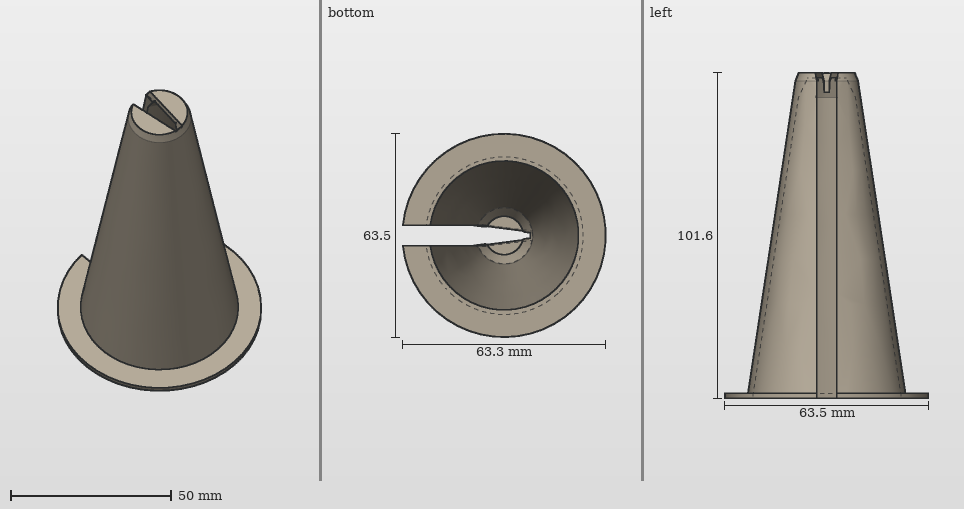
import cadquery as cq

height = 101.6
flange_radius = 31.75
flange_thickness = 1.5875
wall = 1.5875

base_radius = 24.6
shoulder_radius = 9.8
tip_radius = 8.75
tip_bevel_height = 2.6
shoulder_z = height - tip_bevel_height
cone_slope = (base_radius - shoulder_radius) / (shoulder_z - flange_thickness)

cavity_mouth_radius = base_radius - wall + cone_slope * flange_thickness
cavity_knee_radius = 8.9
cavity_knee_z = height - 7.7
cavity_top_radius = 6.0
cap_underside_z = height - wall

slot_width = 6.35

notch_near_x = -12.0
notch_end_x = 8.15
notch_near_half_width = 3.45
notch_end_half_width = 0.8
notch_floor_z = cavity_knee_z
notch_flare = 0.65


def revolved(profile):
    """Revolve a closed (radius, z) outline about Z, starting from the -X side."""
    points = [(-radius, z) for radius, z in profile]
    return cq.Workplane("XZ").polyline(points).close().revolve(360, (0, 0), (0, 1))


def outer_body():
    return revolved([
        (0, 0),
        (flange_radius, 0),
        (flange_radius, flange_thickness),
        (base_radius, flange_thickness),
        (shoulder_radius, shoulder_z),
        (tip_radius, height),
        (0, height),
    ])


def cavity():
    return revolved([
        (0, 0),
        (cavity_mouth_radius, 0),
        (cavity_knee_radius, cavity_knee_z),
        (cavity_top_radius, cap_underside_z),
        (0, cap_underside_z),
    ])


def side_slot():
    """Slot through the -X half of the flange and cone, up to the shoulder."""
    slot = cq.Workplane("XY").box(flange_radius, slot_width, shoulder_z, centered=(False, True, False))
    return slot.translate((-flange_radius, 0, 0))


def notch_outline(flare):
    """Wedge outline narrowing towards +X, grown by the flare at its sides and end."""
    near_half = notch_near_half_width + flare
    end_half = notch_end_half_width + flare
    end_x = notch_end_x + flare
    return [
        (notch_near_x, -near_half),
        (end_x, -end_half),
        (end_x, end_half),
        (notch_near_x, near_half),
    ]


def lower_notch():
    return (
        cq.Workplane("XY", origin=(0, 0, notch_floor_z))
        .polyline(notch_outline(0)).close()
        .extrude(shoulder_z - notch_floor_z)
    )


def upper_notch():
    return (
        cq.Workplane("XY", origin=(0, 0, shoulder_z))
        .polyline(notch_outline(0)).close()
        .workplane(offset=tip_bevel_height)
        .polyline(notch_outline(notch_flare)).close()
        .loft(ruled=True)
    )


result = (
    outer_body()
    .cut(cavity())
    .cut(side_slot())
    .cut(lower_notch())
    .cut(upper_notch())
)